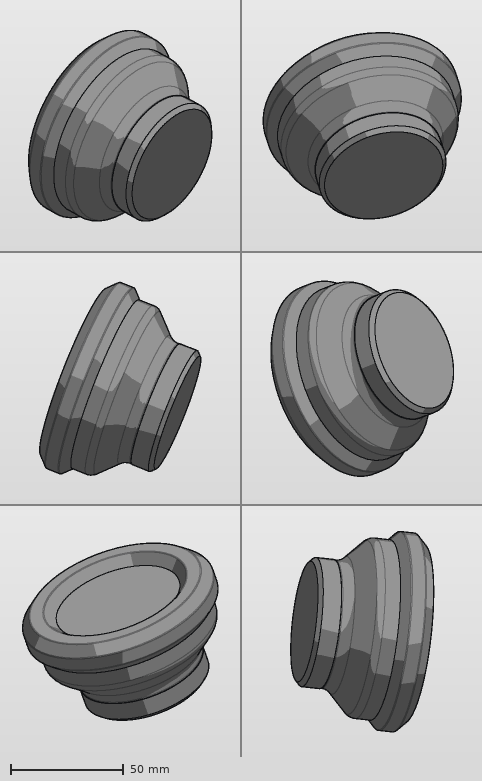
import cadquery as cq
import math

total_length = 50.0

ring_radius = 44.6
ring_front_radius = 40.0
ring_bevel = ring_radius - ring_front_radius
ring_back = 15.4
edge_round = 0.7
mouth_radius = 33.4
floor_radius = 28.8
floor_depth = mouth_radius - floor_radius

body_radius = 81.0 / 2
shoulder_start = 22.3
shoulder_round = 5.0
neck_radius = 57.6 / 2
neck_fillet = 7.1
collar_start = 39.6
collar_radius = 58.0 / 2
collar_chamfer = 2.0

ring_back_bevel_start = ring_back - (ring_radius - body_radius)


def revolve_about_x(profile):
    return profile.close().revolve(360, (0, 0, 0), (1, 0, 0))


def make_ring():
    """Bevelled ring with a conical mouth and a bore that seats the body."""
    profile = (
        cq.Workplane("XY")
        .moveTo(0, mouth_radius)
        .lineTo(0, ring_front_radius)
        .lineTo(ring_bevel, ring_radius)
        .lineTo(ring_back_bevel_start, ring_radius)
        .lineTo(ring_back, body_radius)
        .lineTo(floor_depth, body_radius)
        .lineTo(floor_depth, floor_radius)
    )
    ring = revolve_about_x(profile)
    front_edges = ring.faces("<X").edges()
    rim_edges = ring.edges(cq.selectors.RadiusNthSelector(-1))
    return ring.newObject(front_edges.vals() + rim_edges.vals()).fillet(edge_round)


def make_body():
    """Solid knob: cylinder, rounded shoulder, 45 degree cone, neck and chamfered collar."""
    slope = math.radians(45)
    half_slope = slope / 2

    shoulder_center_radius = body_radius - shoulder_round
    shoulder_mid = (
        shoulder_start + shoulder_round * math.sin(half_slope),
        shoulder_center_radius + shoulder_round * math.cos(half_slope),
    )
    cone_start_x = shoulder_start + shoulder_round * math.sin(slope)
    cone_start_radius = shoulder_center_radius + shoulder_round * math.cos(slope)

    fillet_center_radius = neck_radius + neck_fillet
    cone_end_radius = fillet_center_radius - neck_fillet * math.cos(slope)
    cone_end_x = cone_start_x + (cone_start_radius - cone_end_radius) / math.tan(slope)
    neck_start = cone_end_x + neck_fillet * math.sin(slope)
    fillet_mid = (
        neck_start - neck_fillet * math.sin(half_slope),
        fillet_center_radius - neck_fillet * math.cos(half_slope),
    )

    profile = (
        cq.Workplane("XY")
        .moveTo(floor_depth, 0)
        .lineTo(floor_depth, body_radius)
        .lineTo(shoulder_start, body_radius)
        .threePointArc(shoulder_mid, (cone_start_x, cone_start_radius))
        .lineTo(cone_end_x, cone_end_radius)
        .threePointArc(fillet_mid, (neck_start, neck_radius))
        .lineTo(collar_start, neck_radius)
        .lineTo(collar_start, collar_radius)
        .lineTo(total_length - collar_chamfer, collar_radius)
        .lineTo(total_length, collar_radius - collar_chamfer)
        .lineTo(total_length, 0)
    )
    return revolve_about_x(profile)


ring = make_ring()
body = make_body()

result = cq.Compound.makeCompound([ring.val(), body.val()])